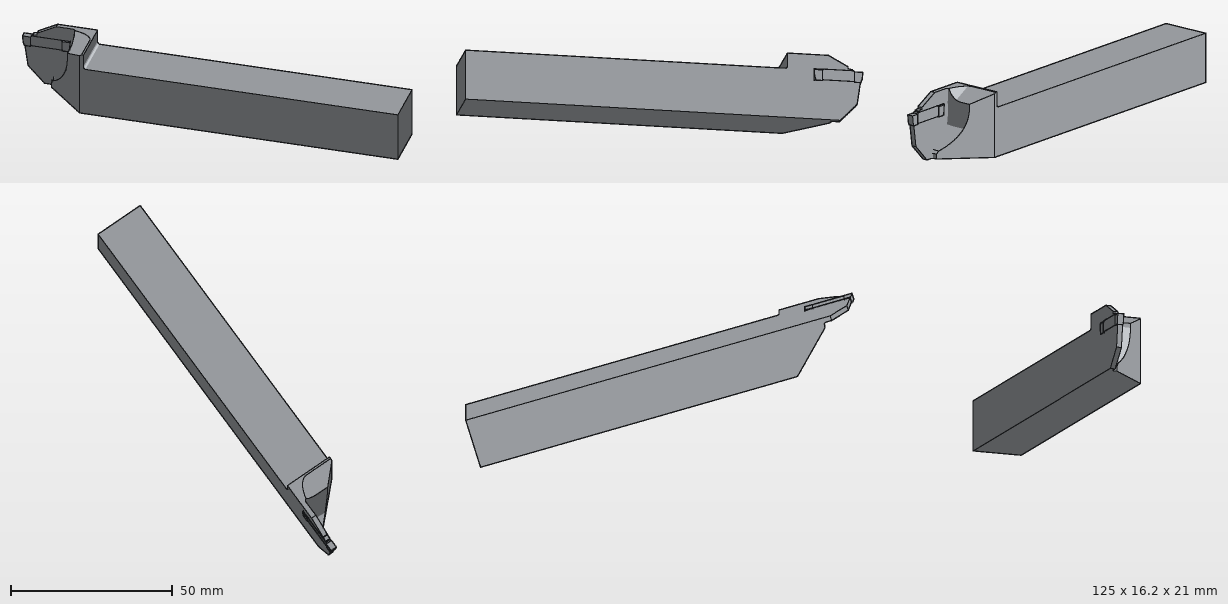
import cadquery as cq
import math

total_length = 125.0
blade_start_x = 0.8
shank_width = 16.0
shank_height = 16.0
head_height = 21.0
head_back_x = 23.8
step_fillet = 0.8

nose_corner_x = 1.8
nose_corner_z = 5.6
heel_x = 7.1
jaw_tip_x = 3.2
jaw_notch_x = 4.6
jaw_tip_z = 16.8
jaw_notch_z = 17.6
jaw_lip_z = 17.0
jaw_top_x = 10.9

blade_front_y = 14.4
chamfer_x = 22.5
wall_x = 17.0
wall_tangent_z = 16.0
wall_end_x = 10.2
wall_end_z = 2.6
wall_foot_x = 9.8
wall_foot_z = 1.6
wall_fillet = 0.9

channel_top_x = 23.1
channel_angle = 30.0
channel_flat_y = 9.1
channel_radius = 5.0

insert_width = 2.0
insert_back_y = 16.2
insert_length = 15.4
tip_length = 2.6
tip_top_z = 16.0
insert_bottom_z = 12.6
upper_flank_x = 0.2
lower_flank_x = 0.6
flank_break_z = 13.6
ramp_length = 0.4
middle_top_z = 16.4
middle_bottom_z = 12.9
middle_inset = 0.1

cut_margin = 6.2
selection_margin = 0.1


def xz_prism(sketch, y_from, y_to):
    """Extrude a closed XZ outline from y_from to y_to."""
    return sketch.extrude(y_from - y_to).translate((0, y_from, 0))


def make_blank():
    outline = (
        cq.Workplane("XZ")
        .moveTo(heel_x, 0)
        .lineTo(total_length, 0)
        .lineTo(total_length, shank_height)
        .lineTo(head_back_x + step_fillet, shank_height)
        .radiusArc((head_back_x, shank_height + step_fillet), step_fillet)
        .lineTo(head_back_x, head_height)
        .lineTo(jaw_top_x, head_height)
        .lineTo(jaw_notch_x, jaw_notch_z)
        .lineTo(jaw_notch_x, jaw_lip_z)
        .lineTo(jaw_tip_x, jaw_tip_z)
        .lineTo(jaw_tip_x, middle_top_z)
        .lineTo(insert_length, middle_top_z)
        .lineTo(insert_length, insert_bottom_z)
        .lineTo(insert_length - tip_length, insert_bottom_z)
        .lineTo(insert_length - tip_length, middle_bottom_z)
        .lineTo(tip_length, middle_bottom_z)
        .lineTo(tip_length, insert_bottom_z)
        .lineTo(blade_start_x, insert_bottom_z)
        .lineTo(nose_corner_x, nose_corner_z)
        .close()
    )
    return xz_prism(outline, 0, shank_width)


def make_chamfer_cut():
    """Everything in front of the 45 degree face, up to the blade."""
    return (
        cq.Workplane("XY")
        .moveTo(chamfer_x + cut_margin, -cut_margin)
        .lineTo(chamfer_x - blade_front_y, blade_front_y)
        .lineTo(-cut_margin, blade_front_y)
        .lineTo(-cut_margin, -cut_margin)
        .close()
        .extrude(head_height)
    )


def make_relief_cut():
    """Space beside the blade, bounded by the curved wall."""
    run = wall_x - wall_end_x
    drop = wall_tangent_z - wall_end_z
    radius = (run**2 + drop**2) / (2 * run)
    outline = (
        cq.Workplane("XZ")
        .moveTo(wall_x, head_height + cut_margin)
        .lineTo(wall_x, wall_tangent_z)
        .radiusArc((wall_end_x, wall_end_z), radius)
        .lineTo(wall_foot_x, wall_foot_z)
        .lineTo(wall_foot_x, -cut_margin)
        .lineTo(-cut_margin, -cut_margin)
        .lineTo(-cut_margin, head_height + cut_margin)
        .close()
    )
    block = xz_prism(outline, -cut_margin, blade_front_y)
    wall_edges = cq.selectors.BoxSelector(
        (wall_foot_x - selection_margin, blade_front_y - selection_margin, -2 * cut_margin),
        (wall_x + selection_margin, blade_front_y + selection_margin, head_height + cut_margin),
    )
    return block.faces(">Y").edges(wall_edges).fillet(wall_fillet)


def make_channel_cut():
    """Sloped channel with a flat floor and one rounded side."""
    slope = math.radians(channel_angle)
    floor_plane = cq.Plane(
        origin=(channel_top_x, 0, head_height),
        xDir=(0, 1, 0),
        normal=(-math.cos(slope), 0, -math.sin(slope)),
    )
    side_y = channel_flat_y + channel_radius
    return (
        cq.Workplane(floor_plane)
        .moveTo(-cut_margin, 0)
        .lineTo(channel_flat_y, 0)
        .radiusArc((side_y, -channel_radius), channel_radius)
        .lineTo(side_y, -2 * cut_margin)
        .lineTo(-cut_margin, -2 * cut_margin)
        .close()
        .extrude(channel_top_x)
    )


def make_insert_middle():
    """Grip section: taller than the tips, narrower across, with ramps on its top."""
    outline = (
        cq.Workplane("XZ")
        .moveTo(tip_length, middle_bottom_z)
        .lineTo(tip_length, tip_top_z)
        .lineTo(tip_length + ramp_length, middle_top_z)
        .lineTo(insert_length - tip_length - ramp_length, middle_top_z)
        .lineTo(insert_length - tip_length, tip_top_z)
        .lineTo(insert_length - tip_length, middle_bottom_z)
        .close()
    )
    return xz_prism(outline, blade_front_y, insert_back_y - middle_inset)


def make_insert_tip():
    """Front cutting end, with its cutting edge at X = 0 and two flank angles."""
    outline = (
        cq.Workplane("XZ")
        .moveTo(0, tip_top_z)
        .lineTo(tip_length, tip_top_z)
        .lineTo(tip_length, insert_bottom_z)
        .lineTo(lower_flank_x, insert_bottom_z)
        .lineTo(upper_flank_x, flank_break_z)
        .close()
    )
    return xz_prism(outline, insert_back_y - insert_width, insert_back_y)


def make_insert():
    front_tip = make_insert_tip()
    rear_tip = front_tip.mirror("YZ", (insert_length / 2, 0, 0))
    return make_insert_middle().union(front_tip).union(rear_tip)


insert = make_insert()
holder = (
    make_blank()
    .cut(make_chamfer_cut())
    .cut(make_relief_cut())
    .cut(make_channel_cut())
    .cut(insert)
)
result = cq.Compound.makeCompound([holder.val(), insert.val()])